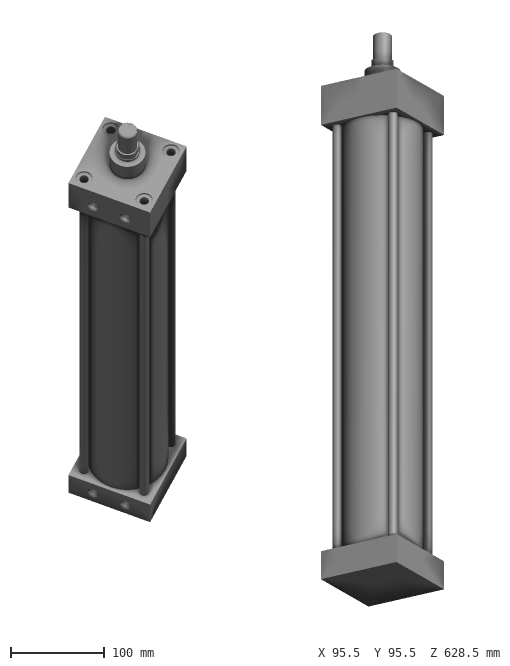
import cadquery as cq
import math

total_height = 628.5
shoulder_top = 599.0
flats_bottom = 591.0
collar_top = 588.0
head_top = 565.0
head_bottom = 520.5
base_top = 32.0

block_side = 95.5
barrel_diameter = 87.5
tie_spacing = 70.5
tie_diameter = 10.0

counterbore_diameter = 18.0
counterbore_depth = 2.0
mount_hole_diameter = 10.0
mount_hole_depth = 12.5

port_diameter = 11.0
port_mouth_diameter = 14.0
port_depth = 10.0
port_spacing = 38.0
head_port_height = 538.0
base_port_height = 15.0

drill_point_angle = 118.0

gland_diameter = 70.0
collar_diameter = 38.5
shoulder_diameter = 24.0
rod_diameter = 25.0
flats_width = 22.0
thread_diameter = 21.0
thread_chamfer = 1.0


def cylinder(diameter, bottom, top):
    """Round bar on the Z axis."""
    return cq.Workplane("XY").workplane(offset=bottom).circle(diameter / 2).extrude(top - bottom)


def end_block(bottom, top):
    """Square block centred on the Z axis."""
    return cq.Workplane("XY").workplane(offset=bottom).rect(block_side, block_side).extrude(top - bottom)


def drilled_hole(diameter, depth, mouth_diameter):
    """Cutter going down from the origin, with a 45 degree mouth and a conical bottom."""
    radius = diameter / 2
    mouth_radius = mouth_diameter / 2
    mouth_depth = mouth_radius - radius
    cone_height = radius / math.tan(math.radians(drill_point_angle / 2))
    profile = cq.Workplane("XZ").lineTo(mouth_radius, 0)
    if mouth_depth > 0:
        profile = profile.lineTo(radius, -mouth_depth)
    profile = profile.lineTo(radius, -depth).lineTo(0, -depth - cone_height).close()
    return profile.revolve(360, (0, 0, 0), (0, 1, 0))


def mount_hole():
    """Cutter on the Z axis for one counterbored hole in the top of the head."""
    counterbore_floor = head_top - counterbore_depth
    hole = drilled_hole(mount_hole_diameter, mount_hole_depth, mount_hole_diameter)
    counterbore = cylinder(counterbore_diameter, counterbore_floor, head_top)
    return hole.translate((0, 0, counterbore_floor)).union(counterbore)


def air_port(x, height):
    """Cutter for one port, going into the -Y side."""
    hole = drilled_hole(port_diameter, port_depth, port_mouth_diameter)
    return hole.rotate((0, 0, 0), (1, 0, 0), 90).translate((x, -block_side / 2, height))


def make_housing():
    """End blocks joined by the barrel and tie rods, with ports and a bore for the gland disc."""
    body = end_block(0, base_top)
    body = body.union(cylinder(barrel_diameter, base_top, head_bottom))
    body = body.union(end_block(head_bottom, head_top))

    for side_x in (-1, 1):
        for side_y in (-1, 1):
            corner = (side_x * tie_spacing / 2, side_y * tie_spacing / 2, 0)
            body = body.union(cylinder(tie_diameter, base_top, head_bottom).translate(corner))
            body = body.cut(mount_hole().translate(corner))

    for side_x in (-1, 1):
        for height in (base_port_height, head_port_height):
            body = body.cut(air_port(side_x * port_spacing / 2, height))

    return body.cut(cylinder(gland_diameter, head_bottom, head_top))


def make_shoulder():
    """Short length of full-diameter rod, then a slightly thinner one with flats on the -X and +X sides."""
    full_part = cylinder(rod_diameter, collar_top, flats_bottom)
    flats = (
        cq.Workplane("XY")
        .workplane(offset=flats_bottom)
        .rect(flats_width, shoulder_diameter)
        .extrude(shoulder_top - flats_bottom)
    )
    flatted_part = cylinder(shoulder_diameter, flats_bottom, shoulder_top).intersect(flats)
    return full_part.union(flatted_part)


def make_rod():
    """Gland disc through the head, with the collar, shoulder and threaded end above it."""
    thread = cylinder(thread_diameter, shoulder_top, total_height)
    thread = thread.faces(">Z").chamfer(thread_chamfer)
    gland = cylinder(gland_diameter, head_bottom, head_top)
    collar = cylinder(collar_diameter, head_top, collar_top)
    return gland.union(collar).union(make_shoulder()).union(thread)


housing = make_housing()
rod = make_rod()

result = cq.Compound.makeCompound([housing.val(), rod.val()])